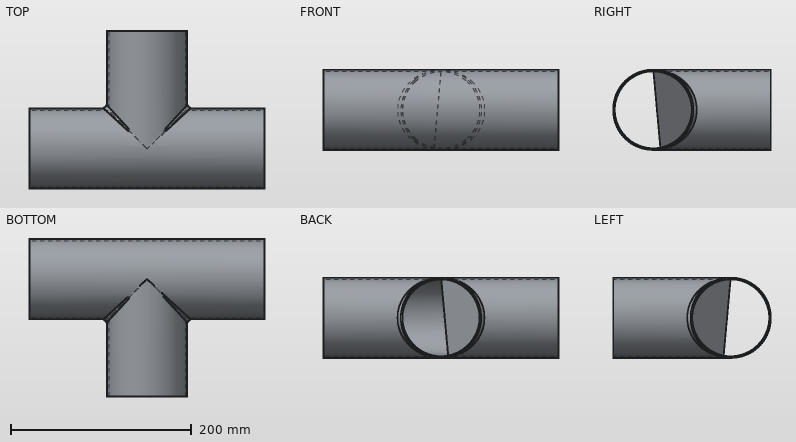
import cadquery as cq
import math

run_length = 260.0
branch_reach = 130.0
outer_diameter = 89.0
bore_diameter = 85.0
weld_leg = 3.6
web_thickness = 0.3
web_lean = 7.8

outer_radius = outer_diameter / 2
bore_radius = bore_diameter / 2
mid_wall_radius = (outer_radius + bore_radius) / 2


def tee_body(radius):
    """Solid tee of two equal cylinders whose axes cross at the origin."""
    run = cq.Workplane("YZ").circle(radius).extrude(run_length / 2, both=True)
    branch = cq.Workplane("XZ").circle(radius).extrude(-branch_reach)
    return run.union(branch)


def weld_bead():
    """Weld along the +X mitre seam, fading to nothing at the top and bottom of the pipes.

    It is the part of an elliptic bar, lying square to the mitre plane, that falls inside a wedge
    opening from the Z axis to the weld's edges on the run and on the branch.
    """
    edge_on_run = outer_radius + weld_leg
    wedge = (
        cq.Workplane("XY")
        .polyline([(0, 0), (edge_on_run, outer_radius), (outer_radius, edge_on_run)])
        .close()
        .extrude(outer_radius, both=True)
    )
    mitre_plane = cq.Plane(origin=(0, 0, 0), xDir=(1, 1, 0), normal=(1, -1, 0))
    reach = (outer_radius + edge_on_run) / math.sqrt(2)
    bar = (
        cq.Workplane(mitre_plane)
        .workplane(offset=-weld_leg)
        .moveTo(0, -outer_radius)
        .ellipseArc(reach, outer_radius, -90, 90, startAtCurrent=True)
        .close()
        .extrude(2 * weld_leg)
    )
    return wedge.intersect(bar)


def mitre_web():
    """Thin web on the -X mitre plane, rooted in the wall, with a slightly leaning free edge."""
    half_disc = (
        cq.Workplane("YZ")
        .moveTo(0, mid_wall_radius)
        .threePointArc(
            (mid_wall_radius, 0),
            (web_lean, -math.sqrt(mid_wall_radius**2 - web_lean**2)),
        )
        .close()
        .extrude(-outer_radius)
    )
    strip_width = web_thickness * math.sqrt(2)
    mitre_strip = (
        cq.Workplane("XY")
        .polyline([
            (0, 0),
            (-strip_width, 0),
            (-outer_radius - strip_width, outer_radius),
            (-outer_radius, outer_radius),
        ])
        .close()
        .extrude(outer_radius, both=True)
    )
    return half_disc.intersect(mitre_strip)


right_weld = weld_bead()
left_weld = right_weld.mirror("YZ")
outer_skin = tee_body(outer_radius).union(right_weld).union(left_weld)

hollow_tee = outer_skin.cut(tee_body(bore_radius))
result = cq.Workplane("XY").newObject([hollow_tee.union(mitre_web()).solids().val()])